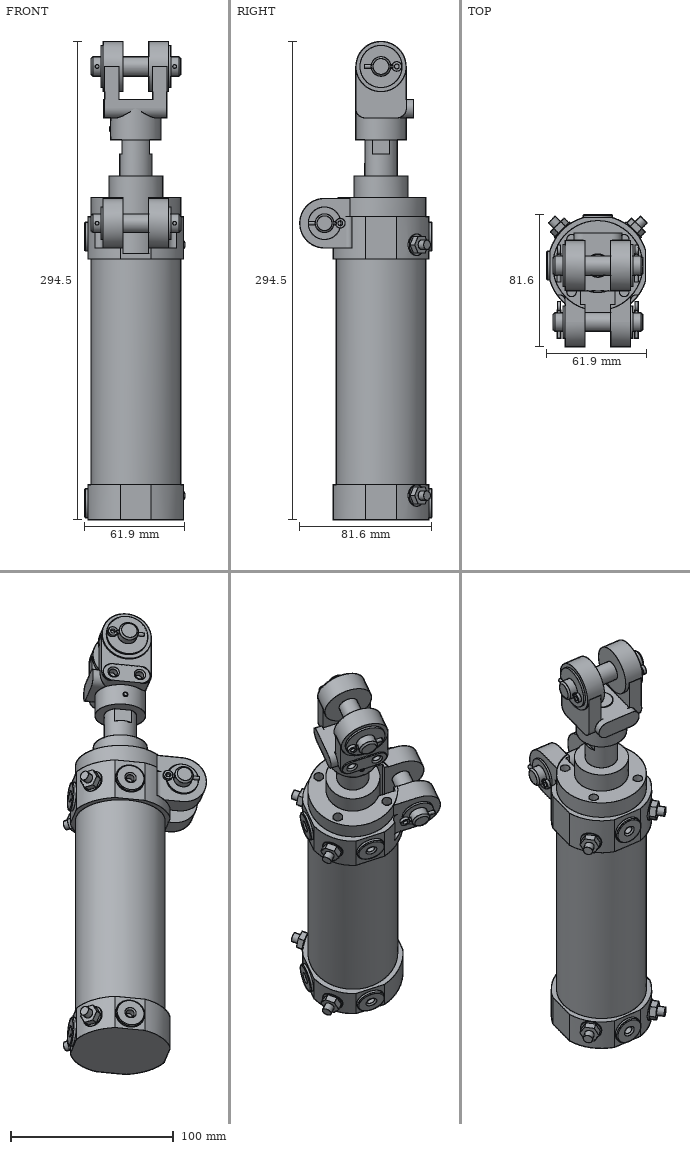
import cadquery as cq
import math


tube_dia = 55.5
end_cap_dia = 61.8
cap_flat_offset = 29.5
base_height = 21.8
head_bottom_z = 160.5
head_step_z = 186.7
head_top_z = 198.5
collar_dia = 33.3
collar_top_z = 211.7
port_heights = (10.3, 174.3)

fitting_root = 25.0
port_boss_dia = 18.0
port_boss_offset = 31.5
port_boss_chamfer = 0.5
port_mouth_dia = 7.0
port_dia = 5.0
port_depth = 6.0
drill_point_angle = 118
port_angles = (90, 180)
right_valve_angle = 45
left_valve_angle = 135
left_valve_heights = port_heights
right_valve_heights = (15.0, 169.3)
valve_flange_dia = 13.3
valve_flange_end = 31.2
valve_nut_dia = 12.0
valve_nut_end = 35.3
valve_stem_dia = 6.0
valve_stem_end = 40.0

head_hole_dia = 6.0
head_hole_depth = 8.8
head_hole_offset = 16.2

fork_gap = 15.5
fork_width = 40.3
washer_end = 21.5

clevis_pin_y = -34.8
clevis_pin_z = 182.5
lug_radius = 15.3
lug_washer_dia = 20.0
lug_back_y = -24.0
head_slot_width = 21.2
head_slot_floor_z = 164.0
pocket_back_y = -18.0
pocket_fillet = 3.5
select_margin = 0.3

rod_dia = 20.0
rod_flat_offset = 8.5
rod_flat_bottom_z = 225.3
stud_dia = 14.5
stud_chamfer = 0.3

overall_height = 294.5
yoke_dia = 31.2
eye_dia = 31.0
yoke_bottom_z = 233.8
yoke_plate_bottom_z = 247.5
yoke_floor_z = 259.0
yoke_arm_outer = 19.0
yoke_arm_inner = 10.3
yoke_edge_radius = 6.0
eye_washer_dia = 26.0
pad_half_length = 14.7
side_pad_offset = 20.0
rear_pad_offset = 20.0
pad_hole_dia = 5.0
pad_hole_mouth_dia = 7.0
pad_hole_depth = 6.0
pad_hole_y = 8.2
set_screw_dia = 3.0
set_screw_tip_x = -16.2
set_screw_chamfer = 0.3
set_screw_z = 240.5

eye_pin_dia = 12.0
clevis_pin_dia = 11.5
pin_length = 55.5
pin_chamfer = 1.2
split_pin_x = 24.0
split_pin_dia = 2.3
split_pin_tip = -10.0
split_ring_y = 9.7
split_ring_dia = 6.0
split_ring_hole_dia = 3.0
split_ring_thickness = 2.0

eye_radius = eye_dia / 2
eye_pin_z = overall_height - eye_radius
port_point_length = port_dia / 2 / math.tan(math.radians(drill_point_angle / 2))
pad_height = yoke_floor_z - yoke_plate_bottom_z
pad_z = yoke_plate_bottom_z + pad_height / 2


def upright(dia, z_low, z_high):
    """Cylinder on the Z axis between two heights."""
    return cq.Workplane("XY").workplane(offset=z_low).circle(dia / 2).extrude(z_high - z_low)


def block(x_range, y_range, z_range):
    """Box between pairs of X, Y and Z limits."""
    lows, highs = zip(x_range, y_range, z_range)
    sizes = [high - low for low, high in zip(lows, highs)]
    return cq.Workplane("XY").box(*sizes, centered=False).translate(lows)


def crossbar(dia, x_low, x_high, y, z):
    """Cylinder parallel to X between two X positions."""
    plane = cq.Workplane("YZ", origin=(x_low, y, z))
    return plane.circle(dia / 2).extrude(x_high - x_low)


def radial(angle, shape_along_x, z):
    """Turn a shape that points along +X to the given angle and lift it."""
    return shape_along_x.rotate((0, 0, 0), (0, 0, 1), angle).translate((0, 0, z))


def flatted_cap(z_low, z_high):
    """End cap: a disc with four flats."""
    flats = block(
        (-cap_flat_offset, cap_flat_offset),
        (-cap_flat_offset, cap_flat_offset),
        (z_low, z_high),
    )
    return upright(end_cap_dia, z_low, z_high).intersect(flats)


def port_boss():
    """Raised port ring pointing along +X."""
    boss = crossbar(port_boss_dia, fitting_root, port_boss_offset, 0, 0)
    return boss.faces(">X").chamfer(port_boss_chamfer)


def drilled_hole(dia, mouth_dia, depth, point_length):
    """Cutter that enters at the origin from +X: conical mouth, bore and optional drill point."""
    mouth_depth = (mouth_dia - dia) / 2
    return (
        cq.Workplane("XY")
        .moveTo(-depth - point_length, 0)
        .lineTo(-depth, dia / 2)
        .lineTo(-mouth_depth, dia / 2)
        .lineTo(0, mouth_dia / 2)
        .lineTo(0, 0)
        .close()
        .revolve(360, (0, 0, 0), (1, 0, 0))
    )


def valve():
    """Cushion valve along +X: hexagon nut with corners to either side, flange and stem."""
    nut = (
        cq.Workplane("YZ", origin=(fitting_root, 0, 0))
        .polygon(6, valve_nut_dia)
        .extrude(valve_nut_end - fitting_root)
    )
    flange = crossbar(valve_flange_dia, fitting_root, valve_flange_end, 0, 0)
    return nut.union(flange).union(crossbar(valve_stem_dia, fitting_root, valve_stem_end, 0, 0))


def clevis_lugs():
    """Pair of round-ended lugs with a washer face on each outer side."""
    low_z = clevis_pin_z - lug_radius
    high_z = clevis_pin_z + lug_radius
    half_width = fork_width / 2
    lugs = block((-half_width, half_width), (clevis_pin_y, -collar_dia / 2), (low_z, high_z))
    lugs = lugs.union(crossbar(2 * lug_radius, -half_width, half_width, clevis_pin_y, clevis_pin_z))
    return lugs.union(crossbar(lug_washer_dia, -washer_end, washer_end, clevis_pin_y, clevis_pin_z))


def lug_pockets():
    """Pockets beside the lugs that clear the washers and split pins."""
    front_y = -end_cap_dia / 2
    reach = (-end_cap_dia / 2, end_cap_dia / 2)
    heights = (clevis_pin_z - lug_radius, head_top_z)
    clearance = block(reach, (front_y, pocket_back_y), heights)
    half_width = fork_width / 2
    kept = block((-half_width, half_width), (front_y, pocket_back_y), heights)
    pockets = clearance.cut(kept)
    inner_edges = cq.selectors.BoxSelector(
        (-half_width - select_margin, pocket_back_y - select_margin, heights[0]),
        (half_width + select_margin, pocket_back_y + select_margin, heights[1]),
    )
    return pockets.edges("|Z").edges(inner_edges).fillet(pocket_fillet)


def lug_gap():
    """Gap between the lugs, wider inside the head, that leaves the collar standing."""
    front_y = clevis_pin_y - lug_radius
    heights = (head_slot_floor_z, head_top_z)
    front = block((-fork_gap / 2, fork_gap / 2), (front_y, 0), heights)
    inside = block((-head_slot_width / 2, head_slot_width / 2), (lug_back_y, 0), heights)
    return front.union(inside).cut(upright(collar_dia, *heights))


def rod():
    """Piston rod with two wrench flats and a stud for the yoke."""
    shaft = upright(rod_dia, collar_top_z, yoke_bottom_z)
    for x_range in ((-rod_dia, -rod_flat_offset), (rod_flat_offset, rod_dia)):
        shaft = shaft.cut(block(x_range, (-rod_dia, rod_dia), (rod_flat_bottom_z, yoke_bottom_z)))
    stud = upright(stud_dia, yoke_bottom_z, yoke_floor_z).faces(">Z").chamfer(stud_chamfer)
    return shaft.union(stud)


def make_cylinder():
    body = upright(tube_dia, 0, head_top_z)
    body = body.union(flatted_cap(0, base_height))
    body = body.union(flatted_cap(head_bottom_z, head_step_z))
    body = body.cut(lug_pockets()).union(clevis_lugs())
    body = body.cut(lug_gap())
    body = body.union(upright(collar_dia, head_slot_floor_z, collar_top_z))
    body = body.cut(crossbar(clevis_pin_dia, -washer_end, washer_end, clevis_pin_y, clevis_pin_z))
    port_bore = drilled_hole(port_dia, port_mouth_dia, port_depth, port_point_length)
    port_bore = port_bore.translate((port_boss_offset, 0, 0))
    for z in port_heights:
        for angle in port_angles:
            body = body.union(radial(angle, port_boss(), z)).cut(radial(angle, port_bore, z))
    valve_places = ((right_valve_angle, right_valve_heights), (left_valve_angle, left_valve_heights))
    for angle, heights in valve_places:
        for z in heights:
            body = body.union(radial(angle, valve(), z))
    screw_holes = (
        cq.Workplane("XY")
        .workplane(offset=head_top_z)
        .rect(2 * head_hole_offset, 2 * head_hole_offset, forConstruction=True)
        .vertices()
        .circle(head_hole_dia / 2)
        .extrude(-head_hole_depth)
    )
    return body.cut(screw_holes).union(rod())


def pad(plane, depth):
    """Stadium-shaped pad that starts at the yoke axis and extrudes by depth."""
    outline = cq.Workplane(plane, origin=(0, 0, pad_z))
    return outline.slot2D(2 * pad_half_length, pad_height).extrude(depth)


def pad_hole(y):
    """Flat-bottomed hole with a conical mouth in the face of the side pad."""
    hole = drilled_hole(pad_hole_dia, pad_hole_mouth_dia, pad_hole_depth, 0)
    return hole.rotate((0, 0, 0), (0, 0, 1), 180).translate((-side_pad_offset, y, pad_z))


def make_yoke():
    fork = block(
        (-yoke_arm_outer, yoke_arm_outer),
        (-yoke_dia / 2, yoke_dia / 2),
        (yoke_plate_bottom_z, eye_pin_z),
    )
    fork = fork.edges("|X and <Z").fillet(yoke_edge_radius)
    fork = fork.cut(
        block((-yoke_arm_inner, yoke_arm_inner), (-yoke_dia / 2, yoke_dia / 2), (yoke_floor_z, eye_pin_z))
    )

    for side in (-1, 1):
        inner, outer, face = (side * x for x in (fork_gap / 2, fork_width / 2, washer_end))
        fork = fork.union(crossbar(eye_dia, inner, outer, 0, eye_pin_z))
        fork = fork.union(crossbar(eye_washer_dia, outer, face, 0, eye_pin_z))

    fork = fork.union(upright(yoke_dia, yoke_bottom_z, yoke_floor_z))
    fork = fork.union(pad("YZ", -side_pad_offset)).union(pad("XZ", -rear_pad_offset))
    fork = fork.cut(pad_hole(-pad_hole_y)).cut(pad_hole(pad_hole_y))

    screw = crossbar(set_screw_dia, set_screw_tip_x, -rod_dia / 2, 0, set_screw_z)
    fork = fork.union(screw.faces("<X").chamfer(set_screw_chamfer))

    fork = fork.cut(rod())
    return fork.cut(crossbar(eye_pin_dia, -washer_end, washer_end, 0, eye_pin_z))


def make_split_pin(x, y, z):
    """Split pin along Y: a round leg with a ring at its +Y end."""
    leg_end = split_ring_y - (split_ring_dia + split_ring_hole_dia) / 4
    leg = (
        cq.Workplane("XZ", origin=(0, leg_end, 0))
        .circle(split_pin_dia / 2)
        .extrude(leg_end - split_pin_tip)
    )
    half_thickness = split_ring_thickness / 2
    ring = crossbar(split_ring_dia, -half_thickness, half_thickness, split_ring_y, 0)
    ring_hole = crossbar(split_ring_hole_dia, -half_thickness, half_thickness, split_ring_y, 0)
    return leg.union(ring).cut(ring_hole).translate((x, y, z))


def make_cross_pin(dia, y, z):
    """Chamfered pin along X with a hole for a split pin near each end."""
    pin = crossbar(dia, -pin_length / 2, pin_length / 2, y, z).faces("<X or >X").chamfer(pin_chamfer)
    for x in (-split_pin_x, split_pin_x):
        pin = pin.cut(make_split_pin(x, y, z))
    return pin


cylinder = make_cylinder()
yoke = make_yoke()
eye_pin = make_cross_pin(eye_pin_dia, 0, eye_pin_z)
clevis_pin = make_cross_pin(clevis_pin_dia, clevis_pin_y, clevis_pin_z)
split_pins = [
    make_split_pin(x, y, z).val()
    for y, z in ((0, eye_pin_z), (clevis_pin_y, clevis_pin_z))
    for x in (-split_pin_x, split_pin_x)
]

result = cq.Compound.makeCompound(
    [cylinder.val(), yoke.val(), eye_pin.val(), clevis_pin.val(), *split_pins]
)